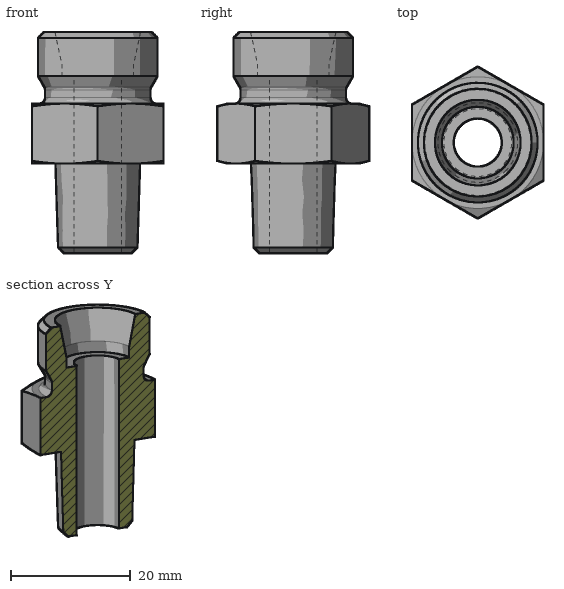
import cadquery as cq
import math

total_height = 37.0
hex_bottom = 15.0
hex_top = 25.0

hex_sides = 6
across_flats = 22.0
hex_chamfer_angle = 15.0
hex_turn = 30.0

spigot_diameter = 20.0
spigot_chamfer = 1.0
neck_diameter = 17.7
neck_top = 27.3
neck_fillet = 1.0
undercut_angle = 30.0
neck_bottom = 26.0
neck_flare = neck_bottom - hex_top

taper_tip_diameter = 13.32
taper_ratio = 1 / 16
tip_chamfer = 1.0

bore_diameter = 8.0
socket_diameter = 12.0
socket_depth = 7.4
cone_mouth_diameter = 14.32
cone_half_angle = 12.0


def make_hexagon():
    """Hexagon with flats facing X, its corners turned down by cones at both ends."""
    across_corners = across_flats / math.cos(math.radians(180 / hex_sides))
    height = hex_top - hex_bottom
    prism = (
        cq.Workplane("XY", origin=(0, 0, hex_bottom))
        .polygon(hex_sides, across_corners)
        .extrude(height)
        .rotate((0, 0, 0), (0, 0, 1), hex_turn)
    )
    face_radius = across_flats / 2
    corner_radius = across_corners / 2
    drop = (corner_radius - face_radius) * math.tan(math.radians(hex_chamfer_angle))
    envelope = (
        cq.Workplane("XZ")
        .moveTo(0, hex_bottom)
        .lineTo(face_radius, hex_bottom)
        .lineTo(corner_radius, hex_bottom + drop)
        .lineTo(corner_radius, hex_top - drop)
        .lineTo(face_radius, hex_top)
        .lineTo(0, hex_top)
        .close()
        .revolve(360, (0, 0, 0), (0, 1, 0))
    )
    return prism.intersect(envelope)


def make_turned_body():
    """Both spigots, revolved around Z as one profile that runs through the hexagon."""
    spigot_radius = spigot_diameter / 2
    neck_radius = neck_diameter / 2
    tip_radius = taper_tip_diameter / 2
    taper_root_radius = tip_radius + taper_ratio * (hex_bottom - tip_chamfer) / 2

    undercut = math.radians(undercut_angle)
    fillet_middle_radius = neck_radius + neck_fillet * (1 - math.cos(undercut / 2))
    fillet_middle_height = neck_top + neck_fillet * math.sin(undercut / 2)
    cone_start_radius = neck_radius + neck_fillet * (1 - math.cos(undercut))
    cone_start_height = neck_top + neck_fillet * math.sin(undercut)
    spigot_bottom = cone_start_height + (spigot_radius - cone_start_radius) / math.tan(undercut)

    flare_centre_radius = neck_radius + neck_flare
    flare_middle = neck_flare * math.sqrt(0.5)
    return (
        cq.Workplane("XZ")
        .moveTo(0, 0)
        .lineTo(tip_radius - tip_chamfer, 0)
        .lineTo(tip_radius, tip_chamfer)
        .lineTo(taper_root_radius, hex_bottom)
        .lineTo(flare_centre_radius, hex_bottom)
        .lineTo(flare_centre_radius, hex_top)
        .threePointArc(
            (flare_centre_radius - flare_middle, neck_bottom - flare_middle),
            (neck_radius, neck_bottom),
        )
        .lineTo(neck_radius, neck_top)
        .threePointArc(
            (fillet_middle_radius, fillet_middle_height),
            (cone_start_radius, cone_start_height),
        )
        .lineTo(spigot_radius, spigot_bottom)
        .lineTo(spigot_radius, total_height - spigot_chamfer)
        .lineTo(spigot_radius - spigot_chamfer, total_height)
        .lineTo(0, total_height)
        .close()
        .revolve(360, (0, 0, 0), (0, 1, 0))
    )


def make_bore():
    """Through bore with a flat-bottomed socket and a conical mouth at the top."""
    socket_radius = socket_diameter / 2
    mouth_radius = cone_mouth_diameter / 2
    cone_depth = (mouth_radius - socket_radius) / math.tan(math.radians(cone_half_angle))
    return (
        cq.Workplane("XZ")
        .moveTo(0, 0)
        .lineTo(bore_diameter / 2, 0)
        .lineTo(bore_diameter / 2, total_height - socket_depth)
        .lineTo(socket_radius, total_height - socket_depth)
        .lineTo(socket_radius, total_height - cone_depth)
        .lineTo(mouth_radius, total_height)
        .lineTo(0, total_height)
        .close()
        .revolve(360, (0, 0, 0), (0, 1, 0))
    )


result = make_hexagon().union(make_turned_body()).cut(make_bore())